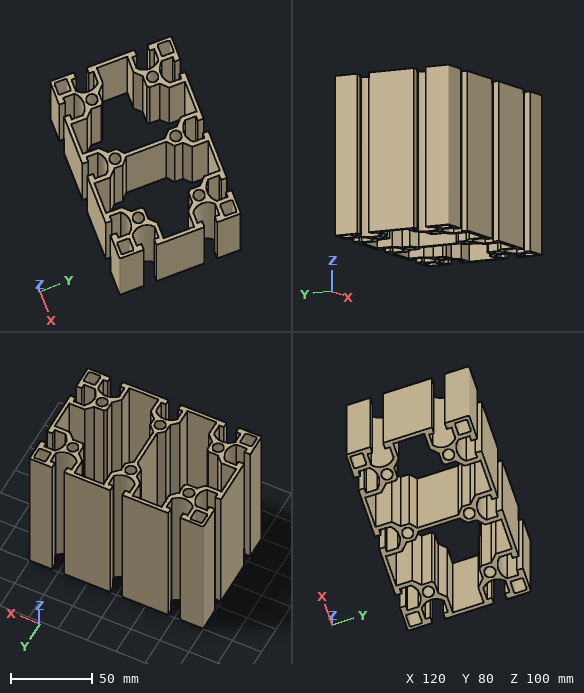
import cadquery as cq

width = 120
modules_x = 3
modules_y = 2
module = width / modules_x
depth = modules_y * module
length = 100.0
outer_corner_radius = 1.0

slot_mouth = 8.3
slot_lip = 4.0
slot_inner_width = 14.5
slot_wall_depth = 11.2
slot_floor_depth = 14.5

bore_diameter = 7.0
boss_half_width = 5.5
boss_corner_chamfer = 1.5

wall = 2.5
chamber_mouth = module / 2
chamber_shoulder_depth = 13.0
web_flare_start = 3.0
web_flare_end = 6.7

cavity_size = 8.0
cavity_wall = 2.0
cavity_corner_radius = 1.0

half_width = width / 2
half_depth = depth / 2

def module_centres(count):
    """Module centres along one axis, spread evenly about the origin."""
    return [(i - (count - 1) / 2) * module for i in range(count)]


slot_x = module_centres(modules_x)
slot_y = module_centres(modules_y)


def t_slot(position, angle, face_distance):
    """T-slot open towards +Y, shifted along its face, then turned about Z."""
    mouth = slot_mouth / 2
    inner = slot_inner_width / 2
    lip_y = face_distance - slot_lip
    wall_y = face_distance - slot_wall_depth
    floor_y = face_distance - slot_floor_depth
    return (
        cq.Workplane("XY")
        .moveTo(position - mouth, face_distance)
        .lineTo(position - mouth, lip_y)
        .lineTo(position - inner, lip_y)
        .lineTo(position - inner, wall_y)
        .threePointArc((position, floor_y), (position + inner, wall_y))
        .lineTo(position + inner, lip_y)
        .lineTo(position + mouth, lip_y)
        .lineTo(position + mouth, face_distance)
        .close()
        .extrude(length)
        .rotate((0, 0, 0), (0, 0, 1), angle)
    )


def chamber():
    """Chamber on the -X side of the web, symmetric about the XZ plane."""
    corner_x = slot_x[0]
    bore_y = slot_y[-1]
    middle_x = slot_x[0] + module / 2
    inner_x = -half_width + wall
    inner_y = half_depth - wall
    half_mouth = chamber_mouth / 2
    boss_x = corner_x + boss_half_width
    boss_y = bore_y - boss_half_width
    shoulder_x = -half_width + chamber_shoulder_depth
    shoulder_y = half_depth - chamber_shoulder_depth
    shoulder_run = middle_x - half_mouth - boss_x

    upper = [
        (inner_x, half_mouth),
        (shoulder_x, half_mouth),
        (shoulder_x + shoulder_run, boss_y),
        (boss_x - boss_corner_chamfer, boss_y),
        (boss_x, boss_y + boss_corner_chamfer),
        (boss_x, shoulder_y - shoulder_run),
        (middle_x - half_mouth, shoulder_y),
        (middle_x - half_mouth, inner_y),
        (middle_x + half_mouth, inner_y),
        (middle_x + half_mouth, shoulder_y),
        (-boss_half_width, shoulder_y - shoulder_run),
        (-boss_half_width, bore_y - web_flare_start),
        (-wall / 2, bore_y - web_flare_end),
    ]
    lower = [(x, -y) for x, y in reversed(upper)]
    return cq.Workplane("XY").polyline(upper + lower).close().extrude(length)


profile = (
    cq.Workplane("XY")
    .rect(width, depth)
    .extrude(length)
    .edges("|Z")
    .fillet(outer_corner_radius)
)

for x in slot_x:
    for angle in (0, 180):
        profile = profile.cut(t_slot(x, angle, half_depth))
for y in slot_y:
    for angle in (90, 270):
        profile = profile.cut(t_slot(y, angle, half_width))

left_chamber = chamber()
profile = profile.cut(left_chamber).cut(left_chamber.mirror("YZ"))

bores = (
    cq.Workplane("XY")
    .pushPoints([(x, y) for x in slot_x for y in slot_y])
    .circle(bore_diameter / 2)
    .extrude(length)
)

cavity_inset = 2 * cavity_wall + cavity_size
corner_cavities = (
    cq.Workplane("XY")
    .rect(width - cavity_inset, depth - cavity_inset, forConstruction=True)
    .vertices()
    .rect(cavity_size, cavity_size)
    .extrude(length)
    .edges("|Z")
    .fillet(cavity_corner_radius)
)

result = profile.cut(bores).cut(corner_cavities)